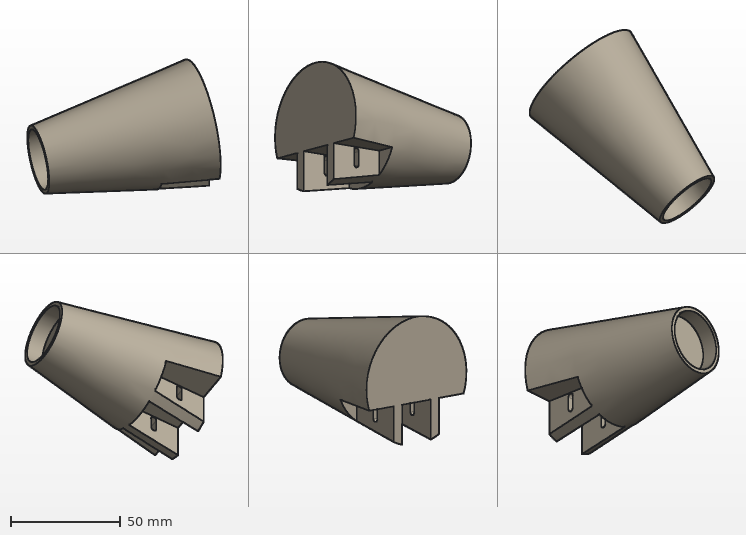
import cadquery as cq

length = 77.9
large_radius = 30.0
small_radius = 16.0

recess_radius = 14.1
recess_depth = 8.0

cutaway_length = 26.3
cutaway_top = -10.0
lug_inner_x = 8.6
lug_outer_x = 13.55
lug_thickness = lug_outer_x - lug_inner_x

slot_from_large_end = 13.2
slot_width = 2.65
slot_height = 9.0
slot_top = -10.4


def make_body():
    """Solid truncated cone whose axis is Y."""
    profile = [(0, 0), (small_radius, 0), (large_radius, length), (0, length)]
    return cq.Workplane("XY").polyline(profile).close().revolve(360, (0, 0, 0), (0, 1, 0))


def make_recess():
    return cq.Workplane("XZ").circle(recess_radius).extrude(-recess_depth)


def underside_block(width, center_x):
    """Block filling the cutaway's length and height over a given band of X."""
    height = large_radius + cutaway_top
    return (
        cq.Workplane("XY")
        .box(width, cutaway_length, height)
        .translate((center_x, length - cutaway_length / 2, cutaway_top - height / 2))
    )


def make_cutaway():
    """Material removed around the lugs, so the lugs keep the cone's outer surface."""
    cutaway = underside_block(2 * large_radius, 0)
    for side in (-1, 1):
        lug_center_x = side * (lug_inner_x + lug_thickness / 2)
        cutaway = cutaway.cut(underside_block(lug_thickness, lug_center_x))
    return cutaway


def make_lug_slot():
    return (
        cq.Workplane("YZ")
        .center(length - slot_from_large_end, slot_top - slot_height / 2)
        .slot2D(slot_height, slot_width, 90)
        .extrude(large_radius, both=True)
    )


result = make_body().cut(make_recess()).cut(make_cutaway()).cut(make_lug_slot())